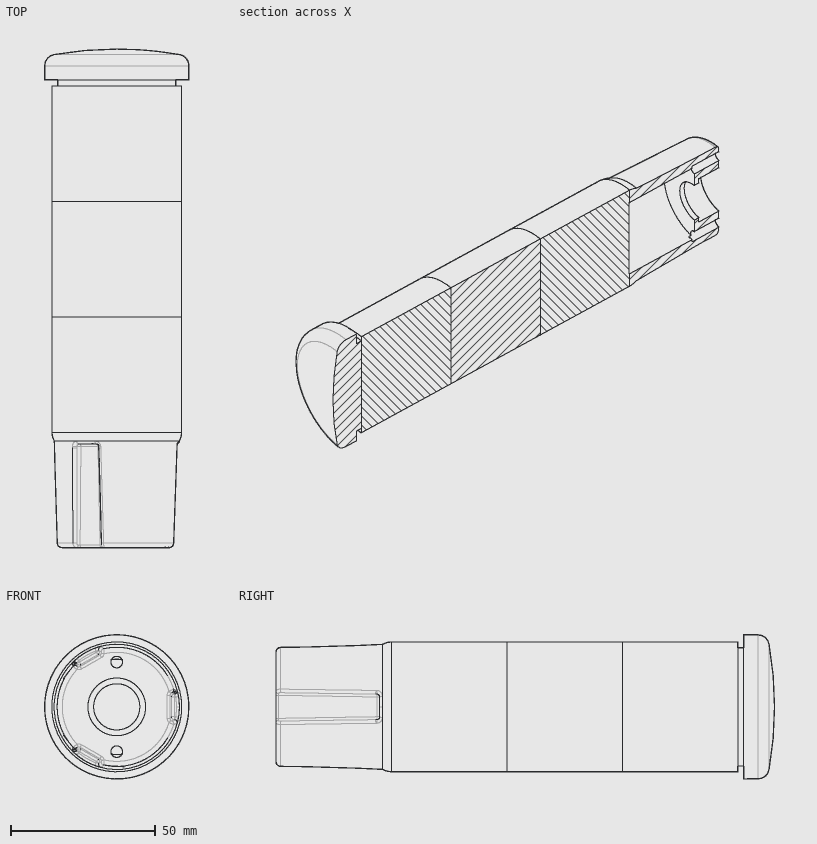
import cadquery as cq
import math


BODY_RADIUS = 45 / 2
BASE_LENGTH = 40
MODULE_LENGTH = 40
MODULE_COUNT = 3
CAP_START = BASE_LENGTH + MODULE_COUNT * MODULE_LENGTH
TOTAL_LENGTH = 172.75

NOSE_FRONT_RADIUS = 41.2 / 2
NOSE_BACK_RADIUS = 43.4 / 2
NOSE_LENGTH = 37
NOSE_EDGE_RADIUS = 1.75

BORE_RADIUS = 20 / 2
BORE_DEPTH = 9
LIP_RADIUS = 16 / 2
LIP_THICKNESS = 2
CAVITY_RADIUS = 33 / 2
CAVITY_START = BORE_DEPTH + LIP_THICKNESS

PIN_HOLE_DIAMETER = 4
PIN_HOLE_OFFSET = 15.5
PIN_HOLE_DEPTH = CAVITY_START + 1

RECESS_COUNT = 3
RECESS_LENGTH = 36
RECESS_FRONT_RADIUS = 18.45
RECESS_SLOPE = math.radians(0.75)
RECESS_FRONT_WIDTH = 10
RECESS_BACK_WIDTH = 8.8
RECESS_EDGE_RADIUS = 1
RECESS_CUT_HEIGHT = 6
RECESS_OVERRUN = 5

NECK_RADIUS = 41 / 2
NECK_LENGTH = 2
CAP_RADIUS = 50 / 2
CAP_EDGE_RADIUS = 4
DOME_SPHERE_RADIUS = 125


def revolve_about_y(profile):
    return profile.close().revolve(360, (0, 0, 0), (0, 1, 0))


def nose_and_collar():
    """Tapered nose and a collar whose arc runs tangent into the body diameter."""
    collar_width = BODY_RADIUS - NOSE_BACK_RADIUS
    collar_length = BASE_LENGTH - NOSE_LENGTH
    collar_radius = (collar_width**2 + collar_length**2) / (2 * collar_width)
    half_angle = math.asin(collar_length / collar_radius) / 2
    collar_middle = (
        BODY_RADIUS - collar_radius * (1 - math.cos(half_angle)),
        BASE_LENGTH - collar_radius * math.sin(half_angle),
    )
    outside = revolve_about_y(
        cq.Workplane("XY")
        .lineTo(NOSE_FRONT_RADIUS, 0)
        .lineTo(NOSE_BACK_RADIUS, NOSE_LENGTH)
        .threePointArc(collar_middle, (BODY_RADIUS, BASE_LENGTH))
        .lineTo(0, BASE_LENGTH)
    )
    return outside.faces("<Y").edges().fillet(NOSE_EDGE_RADIUS)


def recess_cutter():
    """Block that narrows rearward over a gently sloping floor, with its floor and rear edges rounded."""
    floor_plane = cq.Plane(
        origin=(RECESS_FRONT_RADIUS, 0, 0),
        xDir=(math.sin(RECESS_SLOPE), math.cos(RECESS_SLOPE), 0),
        normal=(math.cos(RECESS_SLOPE), -math.sin(RECESS_SLOPE), 0),
    )
    flare = RECESS_OVERRUN * (RECESS_FRONT_WIDTH - RECESS_BACK_WIDTH) / RECESS_LENGTH
    half_front = (RECESS_FRONT_WIDTH + flare) / 2
    half_back = RECESS_BACK_WIDTH / 2
    block = (
        cq.Workplane(floor_plane)
        .polyline([
            (-RECESS_OVERRUN, -half_front),
            (RECESS_LENGTH, -half_back),
            (RECESS_LENGTH, half_back),
            (-RECESS_OVERRUN, half_front),
        ])
        .close()
        .extrude(RECESS_CUT_HEIGHT)
    )
    floor_and_rear_edges = block.faces("<X or >Y").edges("not (<Y or >X)")
    return floor_and_rear_edges.fillet(RECESS_EDGE_RADIUS)


def base_interior():
    """Entry bore, narrower lip and wide cavity as one stepped plug, with the two pin holes."""
    plug = revolve_about_y(
        cq.Workplane("XY")
        .lineTo(BORE_RADIUS, 0)
        .lineTo(BORE_RADIUS, BORE_DEPTH)
        .lineTo(LIP_RADIUS, BORE_DEPTH)
        .lineTo(LIP_RADIUS, CAVITY_START)
        .lineTo(CAVITY_RADIUS, CAVITY_START)
        .lineTo(CAVITY_RADIUS, BASE_LENGTH)
        .lineTo(0, BASE_LENGTH)
    )
    for side in (-1, 1):
        pin_hole = cq.Workplane("XZ").center(0, side * PIN_HOLE_OFFSET).circle(PIN_HOLE_DIAMETER / 2)
        plug = plug.union(pin_hole.extrude(-PIN_HOLE_DEPTH))
    return plug


def base_body():
    base = nose_and_collar()
    cutter = recess_cutter()
    for index in range(RECESS_COUNT):
        turn = index * 360 / RECESS_COUNT
        base = base.cut(cutter.rotate((0, 0, 0), (0, 1, 0), turn))
    base = base.faces("%CONE").edges("not (%LINE or %CIRCLE)").fillet(RECESS_EDGE_RADIUS)
    return base.cut(base_interior())


def module_body(index):
    start = BASE_LENGTH + index * MODULE_LENGTH
    return cq.Workplane("XZ", origin=(0, start, 0)).circle(BODY_RADIUS).extrude(-MODULE_LENGTH)


def dome_height_at(radius):
    return TOTAL_LENGTH - DOME_SPHERE_RADIUS + math.sqrt(DOME_SPHERE_RADIUS**2 - radius**2)


def cap_body():
    """Neck, rim and shallow spherical dome in one revolved outline, with the rim rounded over."""
    rim_start = CAP_START + NECK_LENGTH
    cap = revolve_about_y(
        cq.Workplane("XY")
        .moveTo(0, CAP_START)
        .lineTo(NECK_RADIUS, CAP_START)
        .lineTo(NECK_RADIUS, rim_start)
        .lineTo(CAP_RADIUS, rim_start)
        .lineTo(CAP_RADIUS, dome_height_at(CAP_RADIUS))
        .threePointArc((CAP_RADIUS / 2, dome_height_at(CAP_RADIUS / 2)), (0, TOTAL_LENGTH))
    )
    return cap.faces("%SPHERE").edges("%CIRCLE").fillet(CAP_EDGE_RADIUS)


base = base_body()
modules = [module_body(index) for index in range(MODULE_COUNT)]
cap = cap_body()

result = cq.Compound.makeCompound([base.val(), *[module.val() for module in modules], cap.val()])